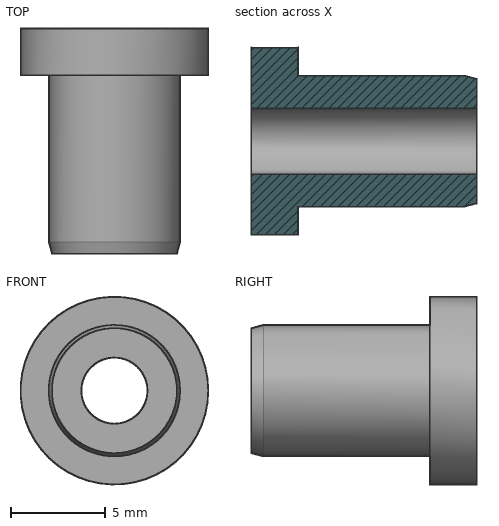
import cadquery as cq
import math

total_length = 12.0
head_diameter = 10.0
head_thickness = 2.5
shank_diameter = 7.0
bore_diameter = 3.5

taper_length = 0.65
taper_angle = 15.0

head_radius = head_diameter / 2
shank_radius = shank_diameter / 2
bore_radius = bore_diameter / 2
tip_radius = shank_radius - taper_length * math.tan(math.radians(taper_angle))
shoulder_y = total_length - head_thickness

half_section = [
    (bore_radius, 0),
    (tip_radius, 0),
    (shank_radius, taper_length),
    (shank_radius, shoulder_y),
    (head_radius, shoulder_y),
    (head_radius, total_length),
    (bore_radius, total_length),
]

result = (
    cq.Workplane("XY")
    .polyline(half_section)
    .close()
    .revolve(360, (0, 0, 0), (0, 1, 0))
)